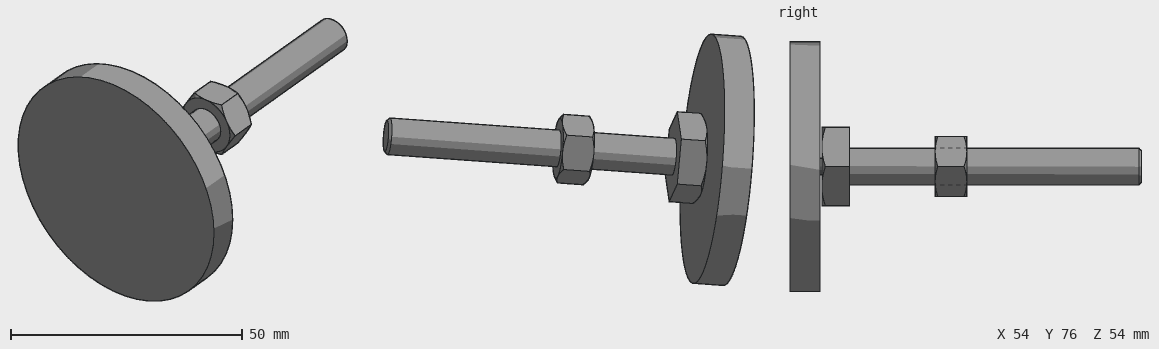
import cadquery as cq
import math

total_length = 76.0
base_diameter = 54.0
base_thickness = 6.5

stud_diameter = 8.0
stud_tip_chamfer = 0.6
neck_diameter = 3.65
neck_length = 0.4

head_width = 17.0
head_height = 6.0

nut_width = 13.0
nut_height = 6.85
nut_start = 31.4

hex_chamfer_angle = 30.0

neck_start = base_thickness
head_start = neck_start + neck_length
shank_start = head_start + head_height


def cylinder(diameter, start, length):
    """Cylinder on the Y axis, running from start toward +Y."""
    plane = cq.Plane(origin=(0, start, 0), xDir=(1, 0, 0), normal=(0, 1, 0))
    return cq.Workplane(plane).circle(diameter / 2).extrude(length)


def hexagon(width, start, height, chamfer_far_end):
    """Hex prism with corners on X and a conical chamfer at its near end, or at both ends."""
    corner_diameter = width / math.cos(math.radians(30))
    plane = cq.Plane(origin=(0, start, 0), xDir=(1, 0, 0), normal=(0, 1, 0))
    prism = cq.Workplane(plane).polygon(6, corner_diameter).extrude(height)

    face_radius = width / 2
    corner_radius = corner_diameter / 2
    drop = (corner_radius - face_radius) * math.tan(math.radians(hex_chamfer_angle))
    end = start + height
    profile = cq.Workplane("XY").moveTo(0, start).lineTo(face_radius, start)
    profile = profile.lineTo(corner_radius, start + drop)
    if chamfer_far_end:
        profile = profile.lineTo(corner_radius, end - drop).lineTo(face_radius, end)
    else:
        profile = profile.lineTo(corner_radius, end)
    envelope = profile.lineTo(0, end).close().revolve(360, (0, 0, 0), (0, 1, 0))
    return prism.intersect(envelope)


def make_base():
    return cylinder(base_diameter, 0, base_thickness)


def make_stud():
    """Threaded shank, hex head and short neck standing on the base."""
    shank = cylinder(stud_diameter, shank_start, total_length - shank_start)
    shank = shank.faces(">Y").chamfer(stud_tip_chamfer)
    head = hexagon(head_width, head_start, head_height, chamfer_far_end=False)
    neck = cylinder(neck_diameter, neck_start, neck_length)
    return shank.union(head).union(neck)


def make_nut():
    """Lock nut with a bore that fits the shank."""
    nut = hexagon(nut_width, nut_start, nut_height, chamfer_far_end=True)
    return nut.cut(cylinder(stud_diameter, nut_start, nut_height))


base = make_base()
stud = make_stud()
nut = make_nut()

result = cq.Compound.makeCompound([base.val(), stud.val(), nut.val()])